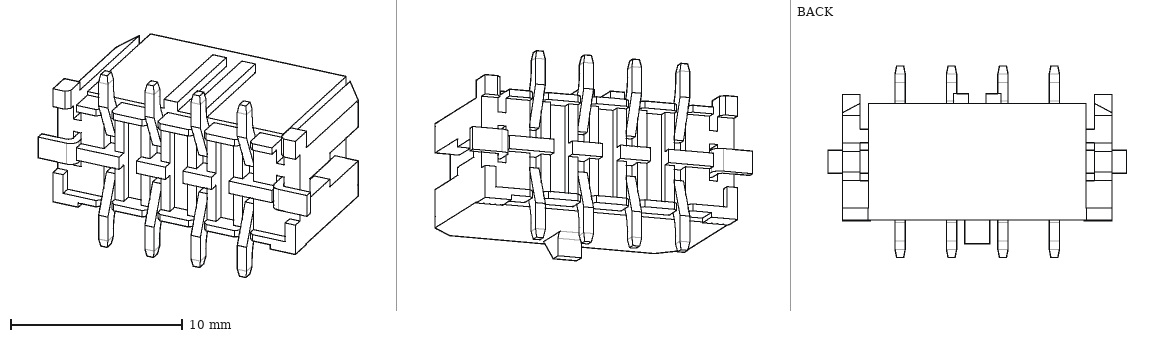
import cadquery as cq
import math


HOUSING_HALF_X = 7.87
HOUSING_HALF_Z = 3.4
MATING_Y = 10.1
SHELL_BACK_Y = 1.71
FLOOR_Y = 0.82
RIM_Y = 0.21
CORNER_CHAMFER = 1.5

CORE_HALF_X = 6.35
SLOT_WIDTH = 0.49
WALL_INNER_X = CORE_HALF_X + SLOT_WIDTH
WALL_EDGE_DROP = 0.54
TOP_SLOT_FLOOR_Z = 1.9
NAIL_SLOT_HALF_Z = 1.1
FRONT_RELIEF_HALF_Z = 2.7
WIDE_WINDOW_END_Y = 4.82
NARROW_WINDOW_END_Y = 2.18
NARROW_WINDOW_HALF_Z = 0.61

RIM_INNER_Z = 2.75
RIM_OUTER_Z = 3.18
FOOT_INNER_X = 6.23
FOOT_BOTTOM_Z = -3.45
CORNER_RIM_INNER_X = 7.2
CORNER_RIM_TOP_Z = -1.54
POST_TOP_Z = 3.93
POST_CHAMFER = 0.26
BAR_HALF_Z = 0.4
CHANNEL_WIDTH = 1.13
CHANNEL_DEPTH = 0.61
GROOVE_WIDTH = 0.7
GROOVE_CHAMFER = 0.23

PIN_COLUMNS = 4
PIN_PITCH = 3.0
PIN_WIDTH = 0.61
PIN_THICKNESS = 0.75
PIN_TIP_Z = 5.6
PIN_TAPER_LENGTH = 0.49
PIN_TAPER_INSET = 0.096
PIN_BEND_Z = 3.56
PIN_ROOT_Z = 1.2
PIN_SLOPE = math.radians(24.3)
PIN_BACK_RADIUS = 2.62
PIN_BACK_BEND_Z = 4.62

NAIL_HALF_X = 8.72
NAIL_HALF_Z = 0.68
NAIL_OUTER_RADIUS = 0.54
NAIL_INNER_RADIUS = 0.3

KEY_INNER_X = 0.5
KEY_OUTER_X = 1.38
KEY_TOP_Z = 3.98
KEY_END_Y = 8.2
LATCH_HALF_X = 0.73
LATCH_BOTTOM_Z = -4.8
LATCH_BACK_Y = 7.12
LATCH_TIP_Y = 7.95
LATCH_RAMP_END_Y = 9.56
LATCH_FILLET = 0.35

SIDES = (-1, 1)
pin_positions = [(i - (PIN_COLUMNS - 1) / 2) * PIN_PITCH for i in range(PIN_COLUMNS)]
channel_positions = [x + PIN_PITCH / 2 for x in pin_positions[:-1]]


def block(x_range, y_range, z_range):
    """Axis-aligned box between two limits on each axis, given in either order."""
    limits = [sorted(pair) for pair in (x_range, y_range, z_range)]
    sizes = [high - low for low, high in limits]
    return cq.Workplane("XY").box(*sizes, centered=False).translate(tuple(low for low, _ in limits))


def mirrored(shape):
    """The shape together with its mirror image across the YZ plane."""
    return shape.union(shape.mirror("YZ"))


def extrude_z(points, bottom_z, top_z):
    """Prism of an XY outline between two heights."""
    return cq.Workplane("XY").workplane(offset=bottom_z).polyline(points).close().extrude(top_z - bottom_z)


def make_housing():
    full_x = (-HOUSING_HALF_X, HOUSING_HALF_X)
    full_z = (-HOUSING_HALF_Z, HOUSING_HALF_Z)
    housing = block(full_x, (SHELL_BACK_Y, MATING_Y), full_z)
    housing = housing.edges("|Z and >Y").chamfer(CORNER_CHAMFER)
    floor_z = (-RIM_OUTER_Z, RIM_INNER_Z)
    housing = housing.union(block(full_x, (FLOOR_Y, SHELL_BACK_Y), floor_z))
    return housing.cut(mirrored(make_wall_top_bevel()))


def make_wall_top_bevel():
    """Wedge that slopes the top of the side wall."""
    outline = [
        (WALL_INNER_X, HOUSING_HALF_Z),
        (HOUSING_HALF_X, HOUSING_HALF_Z),
        (HOUSING_HALF_X, HOUSING_HALF_Z - WALL_EDGE_DROP),
    ]
    length = MATING_Y - SHELL_BACK_Y
    return cq.Workplane("XZ", origin=(0, SHELL_BACK_Y, 0)).polyline(outline).close().extrude(-length)


def make_rims():
    depth = (RIM_Y, SHELL_BACK_Y)
    core_x = (-CORE_HALF_X, CORE_HALF_X)
    rims = block(core_x, depth, (RIM_INNER_Z, RIM_OUTER_Z))
    rims = rims.union(block(core_x, depth, (-RIM_OUTER_Z, -RIM_INNER_Z)))
    foot = block((FOOT_INNER_X, HOUSING_HALF_X), depth, (FOOT_BOTTOM_Z, -RIM_INNER_Z))
    corner_rim = block((CORNER_RIM_INNER_X, HOUSING_HALF_X), depth, (FOOT_BOTTOM_Z, CORNER_RIM_TOP_Z))
    post = block((WALL_INNER_X, HOUSING_HALF_X), depth, (RIM_INNER_Z, POST_TOP_Z))
    post = post.edges("|Z and <X and <Y").chamfer(POST_CHAMFER)
    bar = block(core_x, (RIM_Y, FLOOR_Y), (-BAR_HALF_Z, BAR_HALF_Z))
    return rims.union(mirrored(foot.union(corner_rim).union(post))).union(bar)


def make_wall_cuts():
    """Slots beside the core, the window through the wall and the relief at the mating end."""
    slot_x = (CORE_HALF_X, WALL_INNER_X)
    outside_x = (CORE_HALF_X, HOUSING_HALF_X)
    full_y = (RIM_Y, MATING_Y)
    nail_slot_z = (-NAIL_SLOT_HALF_Z, NAIL_SLOT_HALF_Z)
    narrow_z = (-NARROW_WINDOW_HALF_Z, NARROW_WINDOW_HALF_Z)
    relief_z = (-FRONT_RELIEF_HALF_Z, FRONT_RELIEF_HALF_Z)
    cuts = block(slot_x, full_y, (TOP_SLOT_FLOOR_Z, HOUSING_HALF_Z))
    cuts = cuts.union(block(slot_x, full_y, nail_slot_z))
    cuts = cuts.union(block(outside_x, (WIDE_WINDOW_END_Y, MATING_Y), nail_slot_z))
    cuts = cuts.union(block(outside_x, (NARROW_WINDOW_END_Y, MATING_Y), narrow_z))
    cuts = cuts.union(block(outside_x, (MATING_Y - CORNER_CHAMFER, MATING_Y), relief_z))
    return mirrored(cuts)


def make_channel(x):
    """Recess in the floor halfway between two pins, which also parts the bar."""
    half = CHANNEL_WIDTH / 2
    return block((x - half, x + half), (RIM_Y, FLOOR_Y + CHANNEL_DEPTH), (-RIM_INNER_Z, RIM_INNER_Z))


def make_pin_groove(x, side):
    """Clearance for one pin, flared where it opens through the rim."""
    half = GROOVE_WIDTH / 2
    flare = half + GROOVE_CHAMFER
    inner_z, rim_z, outer_z = side * BAR_HALF_Z, side * RIM_INNER_Z, side * RIM_OUTER_Z
    groove = block((x - half, x + half), (RIM_Y, SHELL_BACK_Y), (inner_z, outer_z))
    outline = [
        (x - flare, RIM_Y),
        (x + flare, RIM_Y),
        (x + half, RIM_Y + GROOVE_CHAMFER),
        (x - half, RIM_Y + GROOVE_CHAMFER),
    ]
    return groove.union(extrude_z(outline, min(rim_z, outer_z), max(rim_z, outer_z)))


def make_pin():
    """Upper pin centred on X = 0: a root in the housing, a sloping leg and a tapered tip."""
    root_bend_y = (PIN_BEND_Z - PIN_ROOT_Z) * math.tan(PIN_SLOPE)
    arc_end_y = PIN_THICKNESS + PIN_BACK_RADIUS * (1 - math.cos(PIN_SLOPE))
    arc_end_z = PIN_BACK_BEND_Z - PIN_BACK_RADIUS * math.sin(PIN_SLOPE)
    arc_mid_y = PIN_THICKNESS + PIN_BACK_RADIUS * (1 - math.cos(PIN_SLOPE / 2))
    arc_mid_z = PIN_BACK_BEND_Z - PIN_BACK_RADIUS * math.sin(PIN_SLOPE / 2)
    root_top_z = arc_end_z - (SHELL_BACK_Y - arc_end_y) / math.tan(PIN_SLOPE)
    taper_z = PIN_TIP_Z - PIN_TAPER_LENGTH
    side_shape = (
        cq.Workplane("YZ", origin=(-PIN_WIDTH / 2, 0, 0))
        .moveTo(SHELL_BACK_Y, PIN_ROOT_Z)
        .lineTo(root_bend_y, PIN_ROOT_Z)
        .lineTo(0, PIN_BEND_Z)
        .lineTo(0, taper_z)
        .lineTo(PIN_TAPER_INSET, PIN_TIP_Z)
        .lineTo(PIN_THICKNESS - PIN_TAPER_INSET, PIN_TIP_Z)
        .lineTo(PIN_THICKNESS, taper_z)
        .lineTo(PIN_THICKNESS, PIN_BACK_BEND_Z)
        .threePointArc((arc_mid_y, arc_mid_z), (arc_end_y, arc_end_z))
        .lineTo(SHELL_BACK_Y, root_top_z)
        .close()
        .extrude(PIN_WIDTH)
    )
    half = PIN_WIDTH / 2
    tip_half = half - PIN_TAPER_INSET
    front_outline = [
        (-half, PIN_ROOT_Z),
        (half, PIN_ROOT_Z),
        (half, taper_z),
        (tip_half, PIN_TIP_Z),
        (-tip_half, PIN_TIP_Z),
        (-half, taper_z),
    ]
    front_shape = cq.Workplane("XZ").polyline(front_outline).close().extrude(-SHELL_BACK_Y)
    return side_shape.intersect(front_shape)


def make_nail():
    """L-shaped solder nail on the +X side, lying in the slot against the core."""
    outline = [
        (CORE_HALF_X, SHELL_BACK_Y),
        (CORE_HALF_X, 0),
        (NAIL_HALF_X, 0),
        (NAIL_HALF_X, SLOT_WIDTH),
        (WALL_INNER_X, SLOT_WIDTH),
        (WALL_INNER_X, SHELL_BACK_Y),
    ]
    nail = extrude_z(outline, -NAIL_HALF_Z, NAIL_HALF_Z)
    outer_corner = cq.selectors.NearestToPointSelector((CORE_HALF_X, 0, 0))
    inner_corner = cq.selectors.NearestToPointSelector((WALL_INNER_X, SLOT_WIDTH, 0))
    nail = nail.edges("|Z").edges(outer_corner).fillet(NAIL_OUTER_RADIUS)
    return nail.edges("|Z").edges(inner_corner).fillet(NAIL_INNER_RADIUS)


def make_key():
    """Key rib on top of the shell, on the +X side."""
    return block((KEY_INNER_X, KEY_OUTER_X), (SHELL_BACK_Y, KEY_END_Y), (HOUSING_HALF_Z, KEY_TOP_Z))


def make_latch():
    """Ramped latch under the shell with a small concave root at its back."""
    root_z = -HOUSING_HALF_Z
    arc_reach = LATCH_FILLET * (1 - math.sqrt(0.5))
    return (
        cq.Workplane("YZ", origin=(-LATCH_HALF_X, 0, 0))
        .moveTo(LATCH_RAMP_END_Y, root_z)
        .lineTo(LATCH_TIP_Y, LATCH_BOTTOM_Z)
        .lineTo(LATCH_BACK_Y, LATCH_BOTTOM_Z)
        .lineTo(LATCH_BACK_Y, root_z - LATCH_FILLET)
        .threePointArc((LATCH_BACK_Y - arc_reach, root_z - arc_reach), (LATCH_BACK_Y - LATCH_FILLET, root_z))
        .close()
        .extrude(2 * LATCH_HALF_X)
    )


result = make_housing().union(make_rims()).cut(make_wall_cuts())

for channel_x in channel_positions:
    result = result.cut(make_channel(channel_x))

upper_pin = make_pin()
pin_by_side = {1: upper_pin, -1: upper_pin.mirror("XY")}
for pin_x in pin_positions:
    for side in SIDES:
        result = result.cut(make_pin_groove(pin_x, side))
        result = result.union(pin_by_side[side].translate((pin_x, 0, 0)))

result = result.union(mirrored(make_nail()))
result = result.union(mirrored(make_key()))
result = result.union(make_latch())